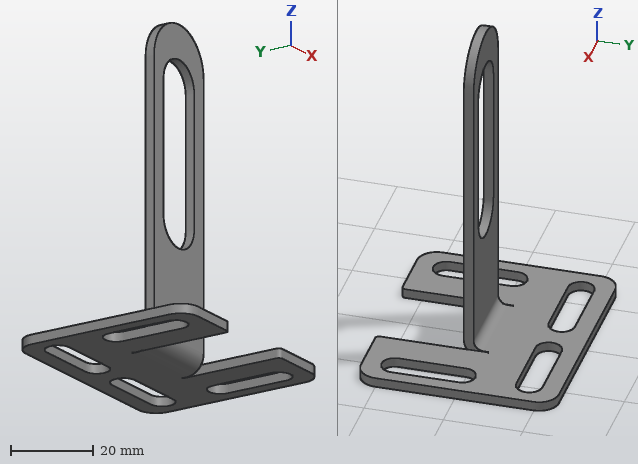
import cadquery as cq

thickness = 2.5
base_width = 60.0
base_depth = 50.0
overall_height = 86.5
corner_radius = 5.0

slot_length = 23.6
slot_width = 6.6
rear_slot_x = 14.45
rear_slot_inset = 8.05
side_slot_x = 23.0
side_slot_inset = 16.5

notch_width = 22.5
bend_relief = 1.2
notch_corner_radius = 1.0

tab_width = 22.0
tab_front_offset = 22.0
inner_bend_radius = thickness
tab_slot_width = 13.5
tab_slot_length = 48.5
tab_slot_top_margin = 9.1

outer_bend_radius = inner_bend_radius + thickness
front_y = -base_depth / 2
rear_y = base_depth / 2
tab_front_y = front_y + tab_front_offset
bend_end_y = tab_front_y + outer_bend_radius
notch_end_y = bend_end_y + bend_relief


def make_base():
    """Rounded plate with an open front notch and four mounting slots."""
    plate = (
        cq.Workplane("XY")
        .rect(base_width, base_depth)
        .extrude(thickness)
        .edges("|Z")
        .fillet(corner_radius)
    )
    notch_depth = notch_end_y - front_y
    notch = (
        cq.Workplane("XY")
        .center(0, front_y + notch_depth / 2)
        .rect(notch_width, notch_depth)
        .extrude(thickness)
    )
    plate = plate.cut(notch)
    for side in (-1, 1):
        mouth_corner = (side * notch_width / 2, front_y, thickness / 2)
        nearest_edge = cq.selectors.NearestToPointSelector(mouth_corner)
        plate = plate.edges("|Z").edges(nearest_edge).fillet(notch_corner_radius)

    rear_slots = (
        cq.Workplane("XY")
        .pushPoints([(side * rear_slot_x, rear_y - rear_slot_inset) for side in (-1, 1)])
        .slot2D(slot_length, slot_width)
        .extrude(thickness)
    )
    side_slots = (
        cq.Workplane("XY")
        .pushPoints([(side * side_slot_x, front_y + side_slot_inset) for side in (-1, 1)])
        .slot2D(slot_length, slot_width, 90)
        .extrude(thickness)
    )
    return plate.cut(rear_slots).cut(side_slots)


def make_tab():
    """Strip that leaves the base level, bends upward and ends in a full round."""
    strip = (
        cq.Workplane("YZ")
        .moveTo(notch_end_y, 0)
        .lineTo(bend_end_y, 0)
        .radiusArc((tab_front_y, outer_bend_radius), outer_bend_radius)
        .lineTo(tab_front_y, overall_height)
        .lineTo(tab_front_y + thickness, overall_height)
        .lineTo(tab_front_y + thickness, outer_bend_radius)
        .radiusArc((bend_end_y, thickness), -inner_bend_radius)
        .lineTo(notch_end_y, thickness)
        .close()
        .extrude(tab_width / 2, both=True)
    )
    round_center_z = overall_height - tab_width / 2
    silhouette = (
        cq.Workplane("XZ")
        .moveTo(-tab_width / 2, 0)
        .lineTo(tab_width / 2, 0)
        .lineTo(tab_width / 2, round_center_z)
        .threePointArc((0, overall_height), (-tab_width / 2, round_center_z))
        .close()
        .extrude(base_depth, both=True)
    )
    slot_center_z = overall_height - tab_slot_top_margin - tab_slot_length / 2
    slot = (
        cq.Workplane("XZ")
        .center(0, slot_center_z)
        .slot2D(tab_slot_length, tab_slot_width, 90)
        .extrude(base_depth, both=True)
    )
    return strip.intersect(silhouette).cut(slot)


result = make_base().union(make_tab())